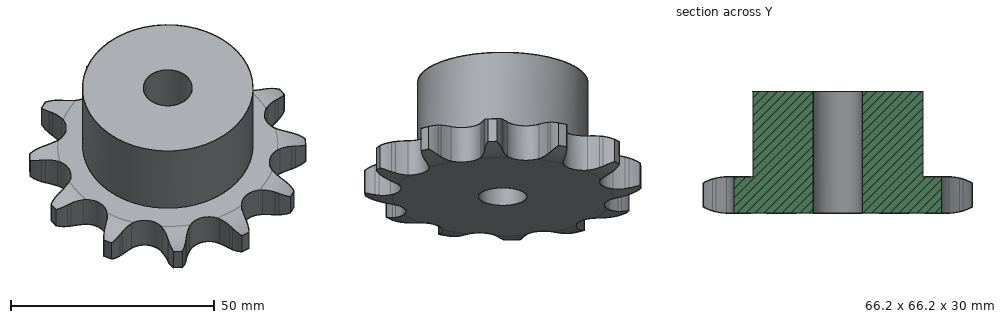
import cadquery as cq
import math


tooth_count = 12
pitch_diameter = 61.3
roller_diameter = 10.1
outside_diameter = 68.0
tooth_width = 9.1
total_height = 30.0
hub_diameter = 42.0
bore_diameter = 12.0
relief_radius = 15.9
relief_depth = 1.6
seat_clearance = 0.08

seat_radius = (1.005 * roller_diameter + seat_clearance) / 2
working_radius = 1.3025 * roller_diameter + seat_clearance / 2
working_centre_distance = 0.8 * roller_diameter
topping_centre_distance = 1.4 * roller_diameter
seat_angle = math.radians(35 + 60 / tooth_count)
working_angle = math.radians(18 - 56 / tooth_count)
topping_angle = math.radians(17 - 64 / tooth_count)
flank_angle = seat_angle - working_angle
half_pitch_angle = math.pi / tooth_count
topping_radius = (
    working_centre_distance * math.cos(working_angle)
    + topping_centre_distance * math.cos(topping_angle)
    - working_radius
)

pitch_radius = pitch_diameter / 2
outside_radius = outside_diameter / 2


def polar(centre, radius, angle):
    """Point at a radius and angle (radians, from +X) around a centre."""
    return (centre[0] + radius * math.cos(angle), centre[1] + radius * math.sin(angle))


def topping_end(centre):
    """Outer point where the topping arc meets the outside circle, on the side facing the gap."""
    distance = math.hypot(*centre)
    cosine = (outside_radius**2 + distance**2 - topping_radius**2) / (2 * outside_radius * distance)
    angle = math.atan2(centre[1], centre[0]) + math.acos(cosine)
    return polar((0, 0), outside_radius, angle)


def tooth_gap():
    """Gap between two teeth, open outwards along +Y, as a prism through the tooth width."""
    roller_centre = (0, pitch_radius)
    working_centre = polar(roller_centre, working_centre_distance, math.pi - seat_angle)
    topping_centre = polar(roller_centre, topping_centre_distance, -half_pitch_angle)

    seat_bottom = polar(roller_centre, seat_radius, -math.pi / 2)
    seat_end = polar(roller_centre, seat_radius, -seat_angle)
    working_middle = polar(working_centre, working_radius, -(seat_angle + flank_angle) / 2)
    working_end = polar(working_centre, working_radius, -flank_angle)
    topping_start_angle = math.pi - flank_angle
    topping_start = polar(topping_centre, topping_radius, topping_start_angle)
    tip = topping_end(topping_centre)
    tip_angle = math.atan2(tip[1] - topping_centre[1], tip[0] - topping_centre[0])
    topping_middle = polar(topping_centre, topping_radius, (topping_start_angle + tip_angle) / 2)
    open_height = outside_radius + roller_diameter

    def mirrored(point):
        return (-point[0], point[1])

    return (
        cq.Workplane("XY")
        .moveTo(*mirrored(seat_end))
        .threePointArc(seat_bottom, seat_end)
        .threePointArc(working_middle, working_end)
        .lineTo(*topping_start)
        .threePointArc(topping_middle, tip)
        .lineTo(tip[0], open_height)
        .lineTo(-tip[0], open_height)
        .lineTo(*mirrored(tip))
        .threePointArc(mirrored(topping_middle), mirrored(topping_start))
        .lineTo(*mirrored(working_end))
        .threePointArc(mirrored(working_middle), mirrored(seat_end))
        .close()
        .extrude(tooth_width)
    )


def relieved_disc():
    """Disc whose rim is rounded on both sides by arcs tangent to the flat faces."""
    relief_length = math.sqrt(relief_radius**2 - (relief_radius - relief_depth) ** 2)
    relief_start = outside_radius - relief_length
    half_sweep = math.asin(relief_length / relief_radius) / 2
    middle_radius = relief_start + relief_radius * math.sin(half_sweep)
    middle_depth = relief_radius * (1 - math.cos(half_sweep))
    return (
        cq.Workplane("XZ")
        .lineTo(relief_start, 0)
        .threePointArc((middle_radius, middle_depth), (outside_radius, relief_depth))
        .lineTo(outside_radius, tooth_width - relief_depth)
        .threePointArc((middle_radius, tooth_width - middle_depth), (relief_start, tooth_width))
        .lineTo(0, tooth_width)
        .close()
        .revolve(360, (0, 0, 0), (0, 1, 0))
    )


result = relieved_disc()
gap = tooth_gap()
for index in range(tooth_count):
    result = result.cut(gap.rotate((0, 0, 0), (0, 0, 1), index * 360 / tooth_count))

result = result.union(cq.Workplane("XY").circle(hub_diameter / 2).extrude(total_height))
result = result.cut(cq.Workplane("XY").circle(bore_diameter / 2).extrude(total_height))